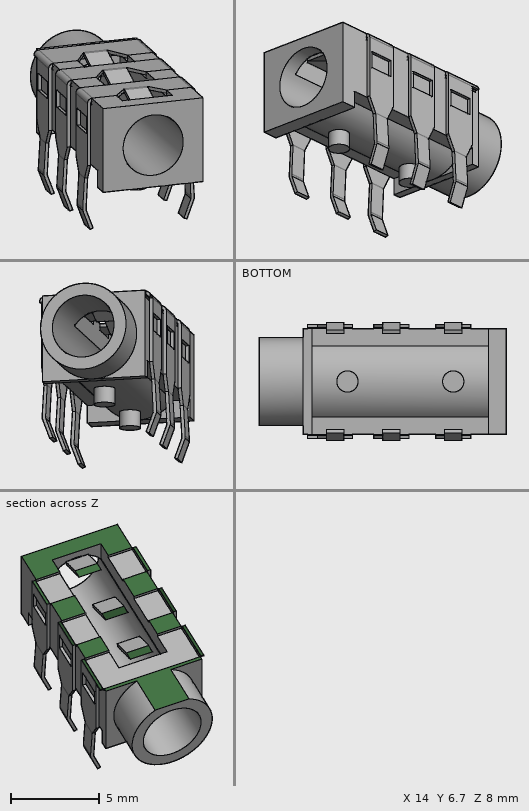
import cadquery as cq
import math


total_length = 14.01
total_height = 8.0
barrel_diameter = 5.0
bore_diameter = 3.6
barrel_length = 2.5
block_width = 6.0
block_top = barrel_diameter / 2
block_bottom = -block_top
undercut_height = 1.01
undercut_start = 3.0
undercut_end = 13.0
window_start = 3.98
window_width = 3.0
clip_seat_depth = 0.39

peg_diameter = 1.2
peg_length = 0.92
peg_positions = [5.0, 11.0]

sheet = 0.2
clip_width = 6.49
bend_radius = 0.3
side_width = 2.0
leg_width = 1.0
taper_start = block_bottom + undercut_height
taper_end = -2.4
knee_top = -4.19
knee_bottom = -4.32
leg_bottom = block_top - total_height
pin_span = 6.7
foot_angle = 20.5

opening_length = 1.6
opening_height = 1.01
opening_depth = 1.13
opening_top = block_top - opening_depth

tongue_width = 1.4
tongue_length = 1.95
tongue_angle = 20

clip_places = [
    (4.3, 0.56, 4.02),
    (7.5, 0, 7.37),
    (11.0, 0, 11.01),
]


def block(x_start, x_end, width, z_bottom, z_top):
    """Box between two X and two Z levels, centred across Y."""
    return cq.Workplane("XY").box(
        x_end - x_start, width, z_top - z_bottom, centered=(False, True, False)
    ).translate((x_start, 0, z_bottom))


def rod(diameter, x_start, x_end):
    """Cylinder along the plug axis."""
    return cq.Workplane("YZ", origin=(x_start, 0, 0)).circle(diameter / 2).extrude(x_end - x_start)


def roof_range(centre, roof_lead):
    """Start and end of a clip's roof along X."""
    return centre - side_width / 2 - roof_lead, centre + side_width / 2


def make_housing():
    """Bored block and barrel with a top window and a seat for each clip roof."""
    body = block(barrel_length, total_length, block_width, block_bottom, block_top)
    body = body.cut(block(undercut_start, undercut_end, block_width, block_bottom, taper_start))
    body = body.union(rod(barrel_diameter, 0, total_length))
    body = body.cut(rod(bore_diameter, 0, total_length))
    body = body.cut(block(window_start, undercut_end, window_width, 0, block_top))
    for centre, roof_lead, _ in clip_places:
        roof_start, roof_end = roof_range(centre, roof_lead)
        body = body.cut(block(roof_start, roof_end, block_width, block_top - clip_seat_depth, block_top))
    return body


def bent_sheet(x_start, x_end):
    """Sheet bent over the housing: roof, two sides and two kneed legs, all at full length."""
    outer = clip_width / 2
    inner = outer - sheet
    knee_outer = pin_span / 2
    bend_start = outer - bend_radius
    bend_end = block_top - bend_radius
    foot_lean = math.radians(foot_angle)
    tip_outer = knee_outer - (knee_bottom - leg_bottom) * math.tan(foot_lean)
    tip_inner = tip_outer - sheet * math.cos(foot_lean)
    tip_inner_height = leg_bottom + sheet * math.sin(foot_lean)
    knee_inner = tip_inner + (knee_bottom - tip_inner_height) * math.tan(foot_lean)
    half = (
        cq.Workplane("YZ", origin=(x_start, 0, 0))
        .moveTo(0, block_top)
        .lineTo(bend_start, block_top)
        .radiusArc((outer, bend_end), bend_radius)
        .lineTo(outer, taper_end)
        .lineTo(knee_outer, knee_top)
        .lineTo(knee_outer, knee_bottom)
        .lineTo(tip_outer, leg_bottom)
        .lineTo(tip_inner, tip_inner_height)
        .lineTo(knee_inner, knee_bottom)
        .lineTo(knee_inner, knee_top)
        .lineTo(inner, taper_end)
        .lineTo(inner, bend_end)
        .radiusArc((bend_start, block_top - sheet), sheet - bend_radius)
        .lineTo(0, block_top - sheet)
        .close()
        .extrude(x_end - x_start)
    )
    return half.union(half.mirror("XZ"))


def side_shape(centre):
    """Outline of a side narrowing to its leg, extruded across the whole clip."""
    half_side = side_width / 2
    half_leg = leg_width / 2
    return (
        cq.Workplane("XZ")
        .polyline([
            (centre - half_side, block_top),
            (centre + half_side, block_top),
            (centre + half_side, taper_start),
            (centre + half_leg, taper_end),
            (centre + half_leg, leg_bottom),
            (centre - half_leg, leg_bottom),
            (centre - half_leg, taper_end),
            (centre - half_side, taper_start),
        ])
        .close()
        .extrude(pin_span / 2, both=True)
    )


def roof_notch(tongue_root, roof_end):
    """Flared opening in the roof, from the tongue root to the edge of the clip."""
    return (
        cq.Workplane("XY", origin=(0, 0, block_top - bend_radius))
        .polyline([
            (tongue_root, -tongue_width / 2),
            (roof_end, -window_width / 2),
            (roof_end, window_width / 2),
            (tongue_root, tongue_width / 2),
        ])
        .close()
        .extrude(bend_radius)
    )


def tongue(root):
    """Spring tongue bent down from the roof into the window."""
    slope = math.radians(tongue_angle)
    inner_radius = bend_radius - sheet
    bend_centre_height = block_top - bend_radius
    straight = tongue_length - bend_radius * math.sin(slope)

    def bend_exit(radius):
        return root + radius * math.sin(slope), bend_centre_height + radius * math.cos(slope)

    def tip(radius):
        x, z = bend_exit(radius)
        return x + straight, z - straight * math.tan(slope)

    return (
        cq.Workplane("XZ")
        .moveTo(root, block_top)
        .radiusArc(bend_exit(bend_radius), bend_radius)
        .lineTo(*tip(bend_radius))
        .lineTo(*tip(inner_radius))
        .lineTo(*bend_exit(inner_radius))
        .radiusArc((root, block_top - sheet), -inner_radius)
        .close()
        .extrude(tongue_width / 2, both=True)
    )


def make_clip(centre, roof_lead, tongue_root):
    """Contact clip straddling the housing, with side openings and a sprung tongue."""
    roof_start, roof_end = roof_range(centre, roof_lead)
    roof_zone = block(roof_start, roof_end, pin_span, block_top - bend_radius, block_top)
    clip = bent_sheet(roof_start, roof_end).intersect(side_shape(centre).union(roof_zone))
    half_opening = opening_length / 2
    clip = clip.cut(block(
        centre - half_opening, centre + half_opening, pin_span, opening_top - opening_height, opening_top
    ))
    clip = clip.cut(roof_notch(tongue_root, roof_end))
    return clip.union(tongue(tongue_root))


def make_peg(x):
    """Locating peg standing against the lowest line of the housing."""
    return cq.Workplane("XY", origin=(x, 0, block_bottom)).circle(peg_diameter / 2).extrude(-peg_length)


housing = make_housing()
clips = [make_clip(*place) for place in clip_places]
pegs = [make_peg(x) for x in peg_positions]

bodies = [housing, *clips, *pegs]
result = cq.Compound.makeCompound([body.val() for body in bodies])